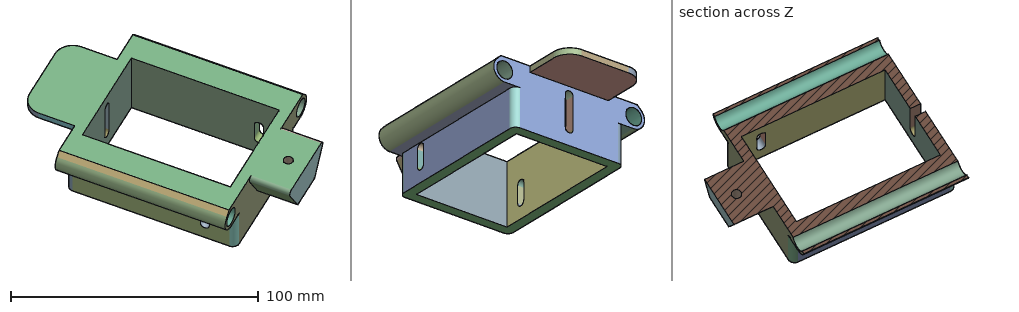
import cadquery as cq

total_length = 118.0
frame_length = 76.0
frame_width = 56.0
frame_height = 30.0
wall = 5.0
corner_radius = 3.0

total_width = 76.9
tube_radius = 5.5
tube_bore = 8.0
tube_axis_depth = 6.0

tab_length = 24.0
tab_width = 40.0
tab_thickness = 3.0
tab_radius = 8.0

block_width = 33.7
block_bottom_width = 16.0
block_height = 15.1
block_edge_radius = 1.7
block_hole_diameter = 4.0
block_hole_from_end = 8.0

slot_width = 4.0
slot_bottom_depth = 24.1
end_slot_length = 19.1
side_slot_length = 12.0
side_slot_from_frame_end = 14.0

frame_start = tab_length
frame_end = frame_start + frame_length
frame_middle = (frame_start + frame_end) / 2
tube_axis_y = total_width / 2 - tube_radius
tube_bottom_depth = tube_axis_depth + tube_radius
block_length = total_length - frame_end


def box_below(length, width, height, top=0.0):
    """Box centred on the frame whose upper face lies at the given height."""
    return (
        cq.Workplane("XY", origin=(frame_middle, 0, top))
        .box(length, width, height, centered=(True, True, False))
        .translate((0, 0, -height))
    )


def frame_body():
    """Square-cornered collar above a skirt with rounded vertical corners."""
    collar = box_below(frame_length, frame_width, tube_bottom_depth)
    skirt_height = frame_height - tube_bottom_depth
    skirt = box_below(frame_length, frame_width, skirt_height, -tube_bottom_depth)
    return collar.union(skirt.edges("|Z").fillet(corner_radius))


def side_tube(side):
    """Tube blended into the frame, with a 45 degree flat tangent to its outside."""
    root_y = frame_width / 2
    diagonal = tube_radius * 0.5 ** 0.5
    tangent_y = tube_axis_y + diagonal
    tangent_z = -tube_axis_depth + diagonal
    outline = (
        cq.Workplane("YZ", origin=(frame_start, 0, 0))
        .moveTo(side * root_y, 0)
        .lineTo(side * (tangent_y + tangent_z), 0)
        .lineTo(side * tangent_y, tangent_z)
        .threePointArc(
            (side * (tube_axis_y + tube_radius), -tube_axis_depth),
            (side * tube_axis_y, -tube_bottom_depth),
        )
        .lineTo(side * root_y, -tube_bottom_depth)
        .close()
        .extrude(frame_length)
    )
    bore = (
        cq.Workplane("YZ", origin=(frame_start, side * tube_axis_y, -tube_axis_depth))
        .circle(tube_bore / 2)
        .extrude(frame_length)
    )
    return outline.cut(bore)


def end_tab():
    """Flat finger tab, flush with the top face."""
    return (
        cq.Workplane("XY", origin=(tab_length / 2, 0, -tab_thickness))
        .rect(tab_length, tab_width)
        .extrude(tab_thickness)
        .edges("|Z and <X")
        .fillet(tab_radius)
    )


def end_block():
    """Block narrowing downwards, with rounded top edges and a vertical hole."""
    block = (
        cq.Workplane("YZ", origin=(frame_end, 0, 0))
        .moveTo(-block_width / 2, 0)
        .lineTo(block_width / 2, 0)
        .lineTo(block_bottom_width / 2, -block_height)
        .lineTo(-block_bottom_width / 2, -block_height)
        .close()
        .extrude(block_length)
        .edges("|X and >Z")
        .fillet(block_edge_radius)
    )
    hole = (
        cq.Workplane("XY", origin=(total_length - block_hole_from_end, 0, -block_height))
        .circle(block_hole_diameter / 2)
        .extrude(block_height)
    )
    return block.cut(hole)


def upright_slot(plane, origin, length, depth):
    """Round-ended vertical slot cutter, centred on its origin along the cut."""
    return (
        cq.Workplane(plane, origin=origin)
        .slot2D(length, slot_width, 90)
        .extrude(depth / 2, both=True)
    )


end_slot = upright_slot(
    "YZ",
    (frame_start + wall / 2, 0, -slot_bottom_depth + end_slot_length / 2),
    end_slot_length,
    wall,
)
side_slots = upright_slot(
    "XZ",
    (frame_end - side_slot_from_frame_end, 0, -slot_bottom_depth + side_slot_length / 2),
    side_slot_length,
    frame_width,
)
opening = box_below(frame_length - 2 * wall, frame_width - 2 * wall, frame_height)

result = frame_body().union(end_tab()).union(end_block())
for side in (-1, 1):
    result = result.union(side_tube(side))
result = result.cut(opening).cut(end_slot).cut(side_slots)